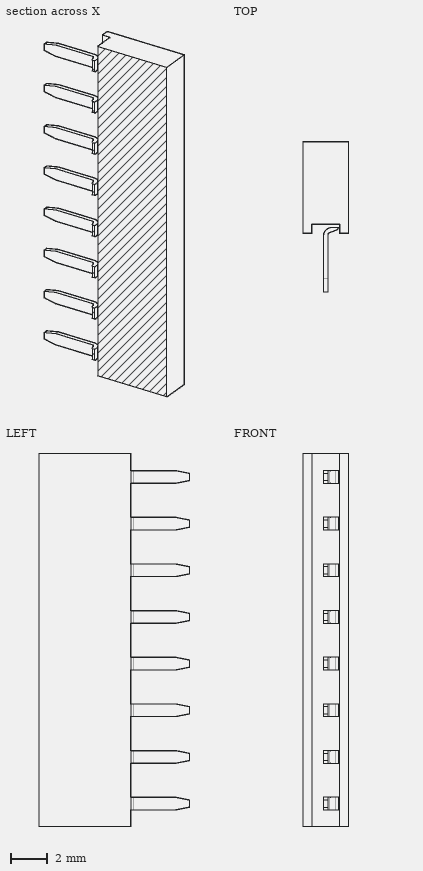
import cadquery as cq
import math

PIN_COUNT = 8
PITCH = 2.54

HOUSING_WIDTH = 2.5
HOUSING_DEPTH = 5.0
HOUSING_HEIGHT = PIN_COUNT * PITCH
SLOT_WIDTH = 1.5
SLOT_DEPTH = 0.5

PIN_ROW_OFFSET = -0.02
PIN_PROJECTION = 3.2
PIN_THICKNESS = 0.26
PIN_WIDTH = 0.7
TIP_WIDTH = 0.4
TIP_LENGTH = 0.75
OUTER_BEND_START_Y = -0.14
OUTER_BEND_RADIUS = 0.47
INNER_BEND_START_Y = -0.06
INNER_BEND_RADIUS = 0.1
FOOT_SLOPE_ANGLE = 20.0
FOOT_SLOPE_END_X = 0.53
FOOT_END_X = 0.7
FOOT_BACK_Y = 0.33
FOOT_END_BULGE = 0.025


def make_housing():
    """Plain bar with one slot running the full height of its open face."""
    bar = cq.Workplane("XY").box(
        HOUSING_WIDTH, HOUSING_DEPTH, HOUSING_HEIGHT, centered=(True, False, True)
    )
    slot = cq.Workplane("XY").box(
        SLOT_WIDTH, SLOT_DEPTH, HOUSING_HEIGHT, centered=(True, False, True)
    )
    return bar.cut(slot)


def make_pin_strip():
    """Straight leg bent toward +X into a sloping foot with a flat back and a rounded end."""
    half_thickness = PIN_THICKNESS / 2
    slope = math.radians(FOOT_SLOPE_ANGLE)
    full_bend = math.pi / 2 - slope

    def outer_bend_point(angle):
        """Point on the outer bend, turned by an angle from the leg."""
        return (
            -half_thickness + OUTER_BEND_RADIUS * (1 - math.cos(angle)),
            OUTER_BEND_START_Y + OUTER_BEND_RADIUS * math.sin(angle),
        )

    def inner_bend_point(angle):
        """Point on the inner bend, turned by an angle from the leg."""
        return (
            half_thickness + INNER_BEND_RADIUS * (1 - math.cos(angle)),
            INNER_BEND_START_Y + INNER_BEND_RADIUS * math.sin(angle),
        )

    outer_end = outer_bend_point(full_bend)
    back_start_x = outer_end[0] + (FOOT_BACK_Y - outer_end[1]) / math.tan(slope)

    inner_end = inner_bend_point(full_bend)
    slope_end_y = inner_end[1] + (FOOT_SLOPE_END_X - inner_end[0]) * math.tan(slope)

    profile = (
        cq.Workplane("XY")
        .moveTo(-half_thickness, -PIN_PROJECTION)
        .lineTo(*outer_bend_point(0))
        .threePointArc(outer_bend_point(full_bend / 2), outer_end)
        .lineTo(back_start_x, FOOT_BACK_Y)
        .lineTo(FOOT_END_X, FOOT_BACK_Y)
        .sagittaArc((FOOT_SLOPE_END_X, slope_end_y), FOOT_END_BULGE)
        .lineTo(*inner_end)
        .threePointArc(inner_bend_point(full_bend / 2), inner_bend_point(0))
        .lineTo(half_thickness, -PIN_PROJECTION)
        .close()
    )
    return profile.extrude(PIN_WIDTH / 2, both=True)


def make_pin():
    """Bent strip whose free end narrows in Z to a blunt tip."""
    tip_y = -PIN_PROJECTION
    taper_start_y = tip_y + TIP_LENGTH
    outline = (
        cq.Workplane("YZ")
        .moveTo(tip_y, -TIP_WIDTH / 2)
        .lineTo(taper_start_y, -PIN_WIDTH / 2)
        .lineTo(FOOT_BACK_Y, -PIN_WIDTH / 2)
        .lineTo(FOOT_BACK_Y, PIN_WIDTH / 2)
        .lineTo(taper_start_y, PIN_WIDTH / 2)
        .lineTo(tip_y, TIP_WIDTH / 2)
        .close()
        .extrude(HOUSING_WIDTH / 2, both=True)
    )
    return make_pin_strip().intersect(outline)


housing = make_housing()

pin = make_pin()
pins = []
for index in range(PIN_COUNT):
    pin_z = (index - (PIN_COUNT - 1) / 2) * PITCH + PIN_ROW_OFFSET
    pins.append(pin.translate((0, 0, pin_z)).val())

result = cq.Compound.makeCompound([housing.val(), *pins])